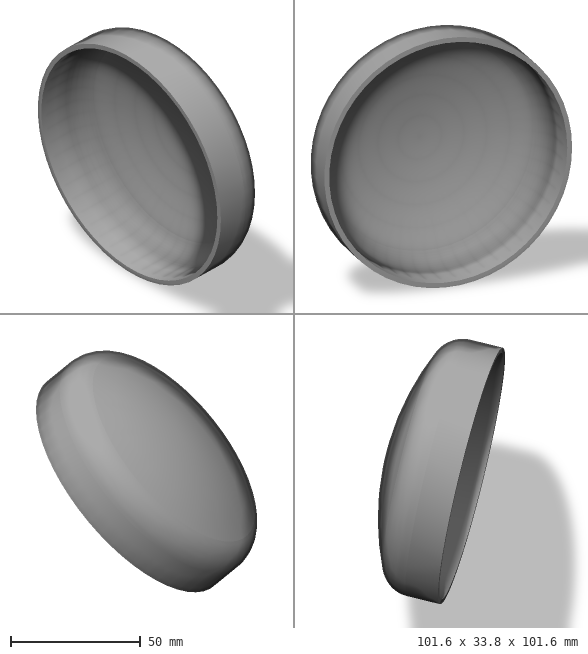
import cadquery as cq
import math

outer_diameter = 101.6
inner_diameter = 97.6
inner_knuckle_radius = 10.2
inner_crown_radius = 101.6
skirt_length = 13.0

wall = (outer_diameter - inner_diameter) / 2


def cap_solid(radius, knuckle_radius, crown_radius):
    """Solid cap: straight skirt, rounded knuckle and spherical crown, revolved about Y."""
    knuckle_center_x = radius - knuckle_radius
    tangent_angle = math.asin(knuckle_center_x / (crown_radius - knuckle_radius))
    crown_center_y = skirt_length - (crown_radius - knuckle_radius) * math.cos(tangent_angle)
    knuckle_mid_angle = (tangent_angle + math.pi / 2) / 2

    def knuckle_point(angle):
        return (
            knuckle_center_x + knuckle_radius * math.sin(angle),
            skirt_length + knuckle_radius * math.cos(angle),
        )

    def crown_point(angle):
        return (
            crown_radius * math.sin(angle),
            crown_center_y + crown_radius * math.cos(angle),
        )

    return (
        cq.Workplane("XY")
        .lineTo(radius, 0)
        .lineTo(radius, skirt_length)
        .threePointArc(knuckle_point(knuckle_mid_angle), knuckle_point(tangent_angle))
        .threePointArc(crown_point(tangent_angle / 2), crown_point(0))
        .close()
        .revolve(360, (0, 0, 0), (0, 1, 0))
    )


outer = cap_solid(
    outer_diameter / 2,
    inner_knuckle_radius + wall,
    inner_crown_radius + wall,
)
cavity = cap_solid(inner_diameter / 2, inner_knuckle_radius, inner_crown_radius)

result = outer.cut(cavity)